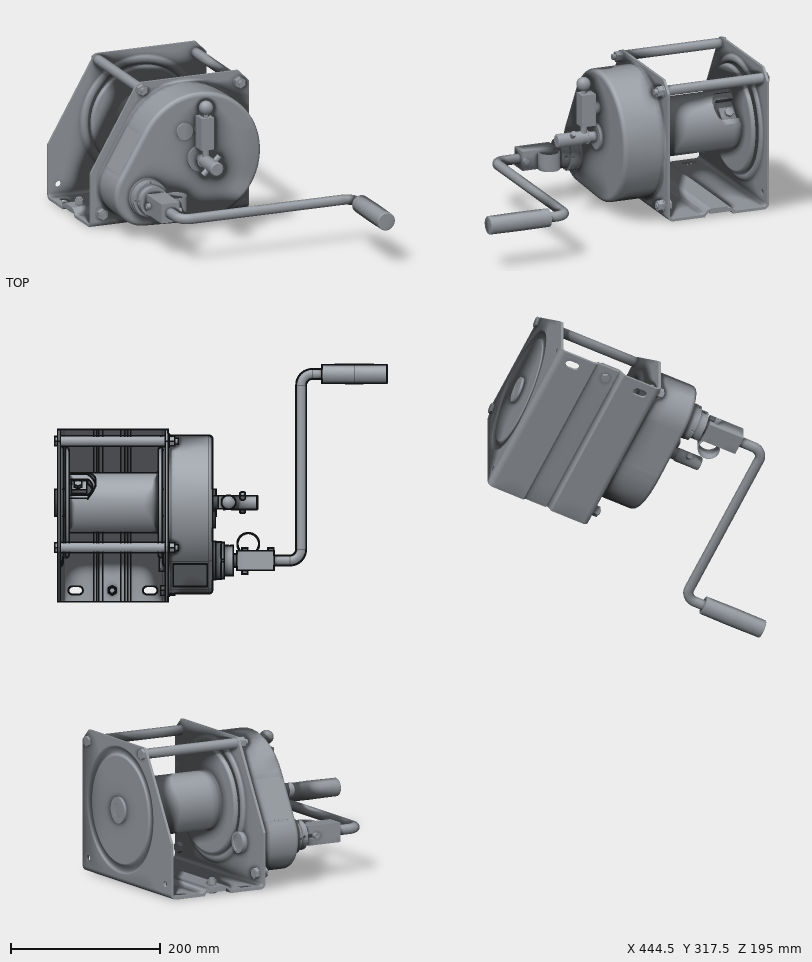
import cadquery as cq
import math


SHEET = 3.5
FRAME_LEFT = 4.0
FRAME_RIGHT = 151.5
FRAME_DEPTH = 230.2
FRAME_HEIGHT = 195.0
BEND_RADIUS = 8.0
LEFT_INNER = FRAME_LEFT + SHEET
RIGHT_INNER = FRAME_RIGHT - SHEET
FRAME_MIDDLE = (FRAME_LEFT + FRAME_RIGHT) / 2
SLOPE_START_HEIGHT = 76.5
SLOPE_ANGLE = 60
SLOPE_CORNER_RADIUS = 9.0
REAR_CORNER_CUT = 15.5

DRUM_AXIS = (132.5, 100.0)
CRANK_AXIS = (55.0, 55.0)
LEVER_AXIS = (133.0, 139.5)
CAP_AXIS = (110.2, 139.5)

RIB_TOP = 11.0
RIB_LEFT = 52.5
RIB_LEFT_RISE = (56.5, 5.5)
RIB_LEFT_STEP = (59.0, 8.5)
RIB_BAR_LEFT = 64.0
RIB_BAR_RIGHT = 90.0
RIB_BAR_UNDERSIDE = 4.0
RIB_TOP_RIGHT = 88.5
RIB_RIGHT_SHOULDER = (94.0, 9.5)
RIB_RIGHT_FOOT = (98.0, 5.0)
RIB_RIGHT = 101.5
RIB_FOLD_OFFSET = 2.2
BOLT_EDGE_DISTANCE = 15.0
SLOT_LENGTH = 19.0
SLOT_WIDTH = 10.5
SLOT_OFFSET = 50.0
RIB_BOLT_X = 77.0
RIB_NUT_TOP = 18.0
RIB_BOLT_TOP = 20.5

HEX_FLATS = 13.0
SMALL_HEX_FLATS = 10.5
BOLT_DIAMETER = 8.0
NUT_END = 160.5
BOLT_END = 165.0
LOW_BOLT_END = 162.2
LOW_HEAD_START = 142.0
LOW_BOLT_HEIGHT = 19.5
ACCESS_HOLE_DIAMETER = 8.5
WASHER_DIAMETER = 16.0
WASHER_THICKNESS = 1.5
SPACER_DIAMETER = 14.0
FRONT_SPACER = (72.5, 186.5)
REAR_SPACER = (214.5, 179.5)
LOW_BOLTS = [(y, LOW_BOLT_HEIGHT) for y in (BOLT_EDGE_DISTANCE, FRAME_DEPTH - BOLT_EDGE_DISTANCE)]

RING_INNER_RADIUS = 74.0
RING_OUTER_RADIUS = 86.0
RING_PRESS = 3.5
RING_EDGE_ROUND = 2.2

DRUM_RADIUS = 40.0
FLANGE_RADIUS = 74.0
FLANGE_START = 14.0
RIGHT_FLANGE_START = 138.2
FLANGE_THICKNESS = 5.5
FLANGE_ROUND = 4.0
FLANGE_WELD = 2.2
HUB_DIAMETER = 36.0
AXLE_DIAMETER = 20.0
AXLE_RECESS = 0.5
BEARING_DIAMETER = 29.0
BEARING_THICKNESS = 8.0
BEARING_BORE = 22.0
BEARING_BORE_DEPTH = 1.5

POCKET_TILT = 45
POCKET_STRAIGHT_END = 44.0
LIP_HALF_WIDTH = 24.0
LIP_END = 55.0
LIP_LEVEL = 29.5
POCKET_HALF_WIDTH = 15.0
POCKET_END = 50.5
POCKET_LEVEL = 20.5
CLAMP_START = 22.2
CLAMP_LENGTH = 21.0
CLAMP_WIDTH = 18.0
CLAMP_OFFSET = 5.5
CLAMP_LEVEL = 27.5
CLAMP_SCREW_X = 31.0
CLAMP_SCREW_LEVEL = 32.0

HOUSING_END = 211.0
HOUSING_LARGE_RADIUS = 90.2
HOUSING_SMALL_RADIUS = 45.0
HOUSING_SMALL_CENTRE = (55.5, 58.0)
HOUSING_EDGE_ROUND = 6.0
HOUSING_FOOT_ROUND = 3.5
LABEL_START = 158.5
LABEL_LENGTH = 45.0
LABEL_WIDTH = 60.5
LABEL_THICKNESS = 0.5
LABEL_CORNER = 2.0

HUB_END = 215.5
OUTPUT_DIAMETER = 18.5
OUTPUT_NECK_DIAMETER = 14.0
OUTPUT_GROOVE_DIAMETER = 16.0
OUTPUT_COLLAR_START = 226.2
OUTPUT_GROOVE_START = 227.5
OUTPUT_GROOVE_END = 236.5
OUTPUT_END = 271.5
OUTPUT_CHAMFER = 1.5
CROSS_PIN_X = 251.0
CROSS_PIN_DIAMETER = 7.5
CROSS_PIN_LENGTH = 33.5
CROSS_PIN_TILT = 45

CAP_DIAMETER = 23.0
CAP_END = 214.5
PIVOT_DIAMETER = 18.0
LEVER_START = 218.2
LEVER_THICKNESS = 20.5
LEVER_WIDTH = 18.0
LEVER_BOTTOM = 118.0
LEVER_TOP = 162.2
POST_X = 232.0
POST_DIAMETER = 8.5
NECK_X = 232.5
NECK_DIAMETER = 6.0
BALL_DIAMETER = 19.0
BALL_HEIGHT = 175.5

BRAKE_FLANGE = (52.0, 215.0)
BRAKE_BODY = (50.0, 222.2)
BRAKE_RING = (49.0, 226.5)
BRAKE_COLLAR = (40.5, 238.5)
BRAKE_SLIT_WIDTH = 3.0
BRAKE_SLIT_DEPTH = 3.5
COLLAR_HOLE_X = 233.5
COLLAR_HOLE_DIAMETER = 6.0
INPUT_DIAMETER = 18.0
INPUT_END = 250.0

SOCKET_START = 243.5
SOCKET_END = 293.5
SOCKET_SIDE = 26.5
SOCKET_SLOT_WIDTH = 6.0
LOCK_PIN_X = 254.2
LOCK_PIN_DIAMETER = 8.0
LOCK_PIN_FRONT = 37.0
LOCK_PIN_REAR = 72.0
LOCK_PIN_BORE = 3.0
LOCK_PIN_BORE_DEPTH = 2.2
STUD_X = 289.0
PULL_RING_X = 258.5
PULL_RING_Y = 77.5
PULL_RING_DIAMETER = 30.0
PULL_RING_WALL = 1.0
PULL_RING_HEIGHT = 24.0
ROD_DIAMETER = 14.0
ROD_BEND_RADIUS = 15.0
ARM_X = 329.5
GRIP_Y = 304.5
GRIP_START = 357.0
GRIP_MIDDLE = 400.0
GRIP_END = 444.5
GRIP_END_RADIUS = 12.5
GRIP_MIDDLE_RADIUS = 13.0
GRIP_CHAMFER = 1.0


def rod_x(diameter, start, end, axis):
    """Cylinder along X around an axis given as (Y, Z)."""
    return cq.Workplane("YZ", origin=(start, *axis)).circle(diameter / 2).extrude(end - start)


def rod_y(diameter, x, start, end, z):
    return cq.Workplane("XZ", origin=(x, start, z)).circle(diameter / 2).extrude(start - end)


def rod_z(diameter, x, y, start, end):
    return cq.Workplane("XY", origin=(x, y, start)).circle(diameter / 2).extrude(end - start)


def box(x_range, y_range, z_range):
    (x0, x1), (y0, y1), (z0, z1) = x_range, y_range, z_range
    return cq.Workplane("XY").box(x1 - x0, y1 - y0, z1 - z0, centered=False).translate((x0, y0, z0))


def hexagon(flats):
    """Corner points of a hexagon with two corners on its second axis."""
    corner = flats / math.sqrt(3)
    angles = [math.radians(30 + 60 * i) for i in range(6)]
    return [(corner * math.cos(a), corner * math.sin(a)) for a in angles]


def hex_x(start, end, axis):
    return cq.Workplane("YZ", origin=(start, *axis)).polyline(hexagon(HEX_FLATS)).close().extrude(end - start)


def hex_z(x, y, start, end):
    points = hexagon(SMALL_HEX_FLATS)
    return cq.Workplane("XY", origin=(x, y, start)).polyline(points).close().extrude(end - start)


def side_profile():
    """Side-plate outline: sloping front edge with a rounded top corner and a cut rear corner."""
    slope_run = (FRAME_HEIGHT - SLOPE_START_HEIGHT) / math.tan(math.radians(SLOPE_ANGLE))
    profile = (
        cq.Workplane("YZ")
        .moveTo(0, 0)
        .lineTo(0, SLOPE_START_HEIGHT)
        .lineTo(slope_run, FRAME_HEIGHT)
        .lineTo(FRAME_DEPTH - REAR_CORNER_CUT, FRAME_HEIGHT)
        .lineTo(FRAME_DEPTH, FRAME_HEIGHT - REAR_CORNER_CUT)
        .lineTo(FRAME_DEPTH, 0)
        .close()
        .extrude(FRAME_RIGHT)
    )
    corner = cq.selectors.NearestToPointSelector((FRAME_RIGHT / 2, slope_run, FRAME_HEIGHT))
    return profile.edges(corner).fillet(SLOPE_CORNER_RADIUS)


def base_rib():
    """Raised rib running front to rear along the middle of the base."""
    shoulder_x, shoulder_z = RIB_RIGHT_SHOULDER
    foot_x, foot_z = RIB_RIGHT_FOOT
    points = [
        (RIB_LEFT, SHEET),
        RIB_LEFT_RISE,
        RIB_LEFT_STEP,
        (RIB_BAR_LEFT, RIB_LEFT_STEP[1]),
        (RIB_BAR_LEFT, RIB_TOP),
        (RIB_TOP_RIGHT, RIB_TOP),
        RIB_RIGHT_SHOULDER,
        RIB_RIGHT_FOOT,
        (RIB_RIGHT, SHEET),
        (RIB_RIGHT, 0),
        (foot_x, 0),
        (foot_x - RIB_FOLD_OFFSET, foot_z - RIB_FOLD_OFFSET),
        (shoulder_x - RIB_FOLD_OFFSET, shoulder_z - RIB_FOLD_OFFSET),
        (RIB_BAR_RIGHT, RIB_TOP - SHEET),
        (RIB_BAR_RIGHT, RIB_BAR_UNDERSIDE),
        (RIB_LEFT_STEP[0], RIB_BAR_UNDERSIDE),
        (RIB_LEFT_RISE[0], 0),
        (RIB_LEFT, 0),
    ]
    return cq.Workplane("XZ").polyline(points).close().extrude(-FRAME_DEPTH)


def base_slot(x):
    slot = cq.Workplane("XY", origin=(x, BOLT_EDGE_DISTANCE, 0))
    return slot.slot2D(SLOT_LENGTH, SLOT_WIDTH).extrude(SHEET)


def pressed_ring(outer_face, inner_face, press):
    """Sheet ring bulging inward, and the plate zone that it replaces."""
    mid_radius = (RING_INNER_RADIUS + RING_OUTER_RADIUS) / 2
    axis_start, axis_end = (0, 0, 0), (1, 0, 0)
    bulge = (
        cq.Workplane("XY")
        .moveTo(outer_face, RING_INNER_RADIUS)
        .threePointArc((outer_face + press, mid_radius), (outer_face, RING_OUTER_RADIUS))
        .lineTo(inner_face, RING_OUTER_RADIUS)
        .threePointArc((inner_face + press, mid_radius), (inner_face, RING_INNER_RADIUS))
        .close()
        .revolve(360, axis_start, axis_end)
    )
    zone = (
        cq.Workplane("YZ", origin=(outer_face, 0, 0))
        .circle(RING_OUTER_RADIUS)
        .circle(RING_INNER_RADIUS)
        .extrude(inner_face - outer_face)
    )
    place = (0, *DRUM_AXIS)
    return bulge.translate(place), zone.translate(place)


def ring_borders(face_a, face_b):
    """Selects the border circles of a pressed ring by their centres on the drum axis."""
    y, z = DRUM_AXIS
    low_x, high_x = sorted((face_a, face_b))
    reach = SHEET / 4
    low_corner = (low_x - reach, y - reach, z - reach)
    high_corner = (high_x + reach, y + reach, z + reach)
    return cq.selectors.BoxSelector(low_corner, high_corner)


def make_frame():
    outer = box((FRAME_LEFT, FRAME_RIGHT), (0, FRAME_DEPTH), (0, FRAME_HEIGHT))
    outer = outer.edges("|Y and <Z").fillet(BEND_RADIUS)
    inner = box((LEFT_INNER, RIGHT_INNER), (0, FRAME_DEPTH), (SHEET, FRAME_HEIGHT))
    inner = inner.edges("|Y and <Z").fillet(BEND_RADIUS - SHEET)
    frame = outer.cut(inner).intersect(side_profile())
    frame = frame.cut(box((RIB_LEFT, RIB_RIGHT), (0, FRAME_DEPTH), (0, SHEET))).union(base_rib())
    for side in (-1, 1):
        frame = frame.cut(base_slot(FRAME_MIDDLE + side * SLOT_OFFSET))
    plates = [(FRAME_LEFT, LEFT_INNER, RING_PRESS), (FRAME_RIGHT, RIGHT_INNER, -RING_PRESS)]
    for outer_face, inner_face, press in plates:
        bulge, zone = pressed_ring(outer_face, inner_face, press)
        frame = frame.cut(zone).union(bulge)
        frame = frame.edges(ring_borders(outer_face, inner_face)).fillet(RING_EDGE_ROUND)
    for bolt in LOW_BOLTS:
        frame = frame.cut(rod_x(ACCESS_HOLE_DIAMETER, FRAME_LEFT, LEFT_INNER, bolt))
    return frame


def nut_and_end(axis, bolt_end):
    """Washer, nut and bolt end on the outside of the right side plate."""
    washer = rod_x(WASHER_DIAMETER, FRAME_RIGHT, FRAME_RIGHT + WASHER_THICKNESS, axis)
    bolt = rod_x(BOLT_DIAMETER, RIGHT_INNER, bolt_end, axis)
    return washer.union(hex_x(FRAME_RIGHT, NUT_END, axis)).union(bolt)


def make_spacer(axis):
    """Spacer tube between the side plates, with its bolt head and nut."""
    spacer = rod_x(SPACER_DIAMETER, LEFT_INNER, RIGHT_INNER, axis)
    return spacer.union(hex_x(0, FRAME_LEFT, axis)).union(nut_and_end(axis, BOLT_END))


def make_low_bolt(axis):
    return hex_x(LOW_HEAD_START, RIGHT_INNER, axis).union(nut_and_end(axis, LOW_BOLT_END))


def make_rib_bolt():
    head = hex_z(RIB_BOLT_X, BOLT_EDGE_DISTANCE, 0, RIB_BAR_UNDERSIDE)
    nut = hex_z(RIB_BOLT_X, BOLT_EDGE_DISTANCE, RIB_TOP, RIB_NUT_TOP)
    end = rod_z(BOLT_DIAMETER, RIB_BOLT_X, BOLT_EDGE_DISTANCE, RIB_TOP, RIB_BOLT_TOP)
    return head.union(nut).union(end)


def pocket_shape(half_width, end_x, floor):
    """Cutter from the left flange to a curved end, open upward above its floor."""
    start_x = FLANGE_START + FLANGE_THICKNESS
    return (
        cq.Workplane("XY", origin=(0, 0, floor))
        .moveTo(start_x, -half_width)
        .lineTo(POCKET_STRAIGHT_END, -half_width)
        .threePointArc((end_x, 0), (POCKET_STRAIGHT_END, half_width))
        .lineTo(start_x, half_width)
        .close()
        .extrude(DRUM_RADIUS - floor)
    )


def make_drum():
    """Drum with its two flanges and the tilted rope pocket, built around the X axis and then placed."""
    centre = (0, 0)
    barrel = rod_x(2 * DRUM_RADIUS, FLANGE_START, RIGHT_FLANGE_START, centre)
    pocket = pocket_shape(LIP_HALF_WIDTH, LIP_END, LIP_LEVEL)
    pocket = pocket.union(pocket_shape(POCKET_HALF_WIDTH, POCKET_END, POCKET_LEVEL))
    clamp_x = (CLAMP_START, CLAMP_START + CLAMP_LENGTH)
    clamp_y = (CLAMP_OFFSET - CLAMP_WIDTH / 2, CLAMP_OFFSET + CLAMP_WIDTH / 2)
    clamp = box(clamp_x, clamp_y, (POCKET_LEVEL, CLAMP_LEVEL))
    screw = hex_z(CLAMP_SCREW_X, CLAMP_OFFSET, CLAMP_LEVEL, CLAMP_SCREW_LEVEL)
    drum = barrel.cut(pocket).union(clamp).union(screw)
    drum = drum.rotate((0, 0, 0), (1, 0, 0), -POCKET_TILT)
    for start, rounded_side in ((FLANGE_START, ">X"), (RIGHT_FLANGE_START, "<X")):
        flange = rod_x(2 * FLANGE_RADIUS, start, start + FLANGE_THICKNESS, centre)
        drum = drum.union(flange.faces(rounded_side).edges().fillet(FLANGE_ROUND))
    weld_circle = cq.selectors.NearestToPointSelector((RIGHT_FLANGE_START, 0, 0))
    drum = drum.edges("%CIRCLE").edges(weld_circle).fillet(FLANGE_WELD)
    return drum.translate((0, *DRUM_AXIS))


def make_hub():
    hub = rod_x(HUB_DIAMETER, 0, HUB_END, DRUM_AXIS)
    return hub.cut(rod_x(AXLE_DIAMETER, 0, AXLE_RECESS, DRUM_AXIS))


def on_circle(centre, radius, angle):
    return (centre[0] + radius * math.cos(angle), centre[1] + radius * math.sin(angle))


def make_housing():
    """Gear housing: two arcs around the drum and the input gear, joined by two tangent flats."""
    dy = DRUM_AXIS[0] - HOUSING_SMALL_CENTRE[0]
    dz = DRUM_AXIS[1] - HOUSING_SMALL_CENTRE[1]
    direction = math.atan2(dz, dy)
    spread = math.acos((HOUSING_SMALL_RADIUS - HOUSING_LARGE_RADIUS) / math.hypot(dy, dz))
    upper = direction + spread
    lower = direction - spread
    upper_start = on_circle(DRUM_AXIS, HOUSING_LARGE_RADIUS, upper)
    upper_end = on_circle(HOUSING_SMALL_CENTRE, HOUSING_SMALL_RADIUS, upper)
    housing = (
        cq.Workplane("YZ", origin=(FRAME_RIGHT, 0, 0))
        .moveTo(*upper_start)
        .threePointArc(
            on_circle(DRUM_AXIS, HOUSING_LARGE_RADIUS, direction),
            on_circle(DRUM_AXIS, HOUSING_LARGE_RADIUS, lower),
        )
        .lineTo(*on_circle(HOUSING_SMALL_CENTRE, HOUSING_SMALL_RADIUS, lower))
        .threePointArc(on_circle(HOUSING_SMALL_CENTRE, HOUSING_SMALL_RADIUS, direction + math.pi), upper_end)
        .close()
        .extrude(HOUSING_END - FRAME_RIGHT)
    )
    housing = housing.faces(">X").edges().fillet(HOUSING_EDGE_ROUND)
    plate_y = (-FRAME_DEPTH, 2 * FRAME_DEPTH)
    plate_z = (-FRAME_HEIGHT, 2 * FRAME_HEIGHT)
    foot_plate = box((RIGHT_INNER, FRAME_RIGHT), plate_y, plate_z)
    inside_foot = cq.selectors.BoxSelector(
        (FRAME_RIGHT - HOUSING_FOOT_ROUND / 2, 0, 0),
        (FRAME_RIGHT + HOUSING_FOOT_ROUND / 2, FRAME_DEPTH, FRAME_HEIGHT),
    )
    housing = housing.union(foot_plate).edges(inside_foot).fillet(HOUSING_FOOT_ROUND).cut(foot_plate)
    flat_middle = [(a + b) / 2 for a, b in zip(upper_start, upper_end)]
    label = make_label(flat_middle, upper)
    return housing.union(label)


def make_label(flat_middle, normal_angle):
    """Thin raised plate on the sloping flat of the housing."""
    label_middle = (LABEL_START + LABEL_LENGTH / 2, *flat_middle)
    normal = (0, math.cos(normal_angle), math.sin(normal_angle))
    plane = cq.Plane(origin=label_middle, xDir=(1, 0, 0), normal=normal)
    label = cq.Workplane(plane).rect(LABEL_LENGTH, LABEL_WIDTH).extrude(LABEL_THICKNESS)
    return label.edges(cq.selectors.ParallelDirSelector(cq.Vector(*normal))).fillet(LABEL_CORNER)


def make_output_shaft():
    shaft = rod_x(OUTPUT_DIAMETER, OUTPUT_COLLAR_START, OUTPUT_END, DRUM_AXIS)
    shaft = shaft.faces(">X").edges().chamfer(OUTPUT_CHAMFER)
    groove = rod_x(OUTPUT_DIAMETER, OUTPUT_GROOVE_START, OUTPUT_GROOVE_END, DRUM_AXIS)
    groove = groove.cut(rod_x(OUTPUT_GROOVE_DIAMETER, OUTPUT_GROOVE_START, OUTPUT_GROOVE_END, DRUM_AXIS))
    neck = rod_x(OUTPUT_NECK_DIAMETER, HUB_END, OUTPUT_COLLAR_START, DRUM_AXIS)
    half_pin = CROSS_PIN_LENGTH / 2
    pin = rod_z(CROSS_PIN_DIAMETER, 0, 0, -half_pin, half_pin)
    pin = pin.rotate((0, 0, 0), (1, 0, 0), -CROSS_PIN_TILT).translate((CROSS_PIN_X, *DRUM_AXIS))
    return shaft.cut(groove).union(neck).union(pin)


def make_lever():
    """Shift lever: pivot, rectangular bar, ball knob above and a post into the shaft groove below."""
    y = LEVER_AXIS[0]
    cap = rod_x(CAP_DIAMETER, HOUSING_END, CAP_END, CAP_AXIS)
    pivot = rod_x(PIVOT_DIAMETER, HOUSING_END, LEVER_START, LEVER_AXIS)
    bar = box(
        (LEVER_START, LEVER_START + LEVER_THICKNESS),
        (y - LEVER_WIDTH / 2, y + LEVER_WIDTH / 2),
        (LEVER_BOTTOM, LEVER_TOP),
    )
    post = rod_z(POST_DIAMETER, POST_X, y, DRUM_AXIS[1], LEVER_BOTTOM)
    neck = rod_z(NECK_DIAMETER, NECK_X, y, LEVER_TOP, BALL_HEIGHT)
    ball = cq.Workplane("XY", origin=(NECK_X, y, BALL_HEIGHT)).sphere(BALL_DIAMETER / 2)
    return cap.union(pivot).union(bar).union(post).union(neck).union(ball)


def make_input_shaft():
    """Stepped brake collar on the crank axis, and the shaft that the crank plugs onto."""
    y, z = CRANK_AXIS
    shaft = rod_x(INPUT_DIAMETER, HOUSING_END, INPUT_END, CRANK_AXIS)
    for diameter, end in (BRAKE_FLANGE, BRAKE_BODY, BRAKE_RING, BRAKE_COLLAR):
        shaft = shaft.union(rod_x(diameter, HOUSING_END, end, CRANK_AXIS))
    ring_radius = BRAKE_RING[0] / 2
    slit = box(
        (BRAKE_BODY[1], BRAKE_RING[1]),
        (y - BRAKE_SLIT_WIDTH / 2, y + BRAKE_SLIT_WIDTH / 2),
        (z + ring_radius - BRAKE_SLIT_DEPTH, z + ring_radius),
    )
    for quarter in range(4):
        shaft = shaft.cut(slit.rotate((0, y, z), (1, y, z), 90 * quarter))
    return shaft.cut(rod_y(COLLAR_HOLE_DIAMETER, COLLAR_HOLE_X, y - ring_radius, y + ring_radius, z))


def make_bearing():
    """Input shaft bearing on the inside of the right plate, with a shallow bore in its face."""
    face = RIGHT_INNER - BEARING_THICKNESS
    bearing = rod_x(BEARING_DIAMETER, face, RIGHT_INNER, CRANK_AXIS)
    return bearing.cut(rod_x(BEARING_BORE, face, face + BEARING_BORE_DEPTH, CRANK_AXIS))


def make_winch():
    winch = make_frame().union(make_drum()).union(make_hub()).union(make_bearing())
    for axis in (FRONT_SPACER, REAR_SPACER):
        winch = winch.union(make_spacer(axis))
    for axis in LOW_BOLTS:
        winch = winch.union(make_low_bolt(axis))
    for part in (make_rib_bolt(), make_housing(), make_output_shaft(), make_lever(), make_input_shaft()):
        winch = winch.union(part)
    return winch


def make_socket():
    """Square crank socket with its shaft bore, side slot, lock pin, stud and pull ring."""
    y, z = CRANK_AXIS
    half = SOCKET_SIDE / 2
    socket = box((SOCKET_START, SOCKET_END), (y - half, y + half), (z - half, z + half))
    slot = box(
        (SOCKET_START, LOCK_PIN_X),
        (y - half, y),
        (z - SOCKET_SLOT_WIDTH / 2, z + SOCKET_SLOT_WIDTH / 2),
    )
    ring_bottom = z - PULL_RING_HEIGHT / 2
    ring_top = z + PULL_RING_HEIGHT / 2
    ring = rod_z(PULL_RING_DIAMETER, PULL_RING_X, PULL_RING_Y, ring_bottom, ring_top)
    ring = ring.faces("|Z").shell(-PULL_RING_WALL)
    pin = rod_y(LOCK_PIN_DIAMETER, LOCK_PIN_X, LOCK_PIN_FRONT, LOCK_PIN_REAR, z)
    pin_bore = rod_y(LOCK_PIN_BORE, LOCK_PIN_X, LOCK_PIN_FRONT, LOCK_PIN_FRONT + LOCK_PIN_BORE_DEPTH, z)
    stud = rod_y(LOCK_PIN_DIAMETER, STUD_X, y, LOCK_PIN_REAR, z)
    socket = socket.cut(slot).union(ring).union(pin).union(stud).cut(pin_bore)
    return socket.cut(rod_x(INPUT_DIAMETER, SOCKET_START, INPUT_END, CRANK_AXIS))


def make_rod():
    """Round rod with two quarter bends: out of the socket, along the arm, and into the grip."""
    y, z = CRANK_AXIS
    bend = ROD_BEND_RADIUS
    half_way = bend * math.sqrt(0.5)
    path = (
        cq.Workplane("XY", origin=(0, 0, z))
        .moveTo(SOCKET_END, y)
        .lineTo(ARM_X - bend, y)
        .threePointArc((ARM_X - bend + half_way, y + bend - half_way), (ARM_X, y + bend))
        .lineTo(ARM_X, GRIP_Y - bend)
        .threePointArc((ARM_X + bend - half_way, GRIP_Y - bend + half_way), (ARM_X + bend, GRIP_Y))
        .lineTo(GRIP_START, GRIP_Y)
    )
    return cq.Workplane("YZ", origin=(SOCKET_END, y, z)).circle(ROD_DIAMETER / 2).sweep(path)


def make_grip():
    """Handle thickest at its middle, around the end of the rod."""
    grip = (
        cq.Workplane("XY")
        .moveTo(GRIP_START, 0)
        .lineTo(GRIP_START, GRIP_END_RADIUS)
        .lineTo(GRIP_MIDDLE, GRIP_MIDDLE_RADIUS)
        .lineTo(GRIP_END, GRIP_END_RADIUS)
        .lineTo(GRIP_END, 0)
        .close()
        .revolve(360, (0, 0, 0), (1, 0, 0))
    )
    return grip.faces(">X").edges().chamfer(GRIP_CHAMFER).translate((0, GRIP_Y, CRANK_AXIS[1]))


winch = make_winch()
crank = make_socket().union(make_rod()).union(make_grip())

result = cq.Compound.makeCompound([winch.val(), crank.val()])